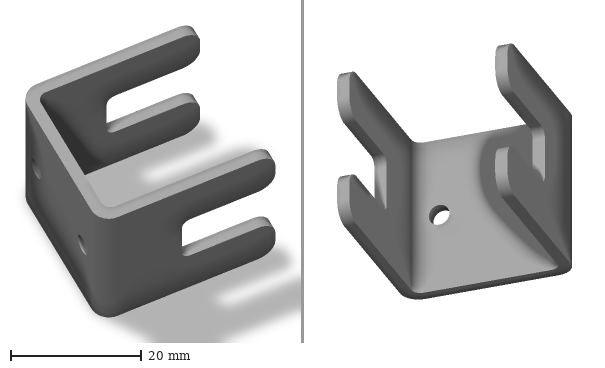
import cadquery as cq

width = 28.0
depth = 30.0
height = 26.0
thickness = 2.0

outer_bend_radius = 3.0
inner_bend_radius = 1.5

slot_height = 9.5
slot_depth = 16.0
slot_corner_radius = 1.5
prong_tip_radius = 3.0

hole_diameter = 3.4
hole_spacing = 16.0

back_y = -depth / 2
open_y = depth / 2


def bent_channel():
    """U-shaped channel, open toward +Y, with rounded bends."""
    outer = cq.Workplane("XY").box(width, depth, height)
    outer = outer.edges("|Z and <Y").fillet(outer_bend_radius)
    inner = cq.Workplane("XY").box(width - 2 * thickness, depth, height)
    inner = inner.edges("|Z and <Y").fillet(inner_bend_radius)
    return outer.cut(inner.translate((0, thickness, 0)))


def arm_profile():
    """Side outline with slot and rounded prongs, extruded across the width."""
    plate = cq.Workplane("XY").box(width, depth, height)
    slot = (
        cq.Workplane("XY")
        .box(width, slot_depth, slot_height)
        .edges("|X and <Y")
        .fillet(slot_corner_radius)
        .translate((0, open_y - slot_depth / 2, 0))
    )
    return plate.cut(slot).edges("|X and >Y").fillet(prong_tip_radius)


def mounting_holes():
    """Pair of cylinders through the back plate."""
    return (
        cq.Workplane("XZ", origin=(0, back_y, 0))
        .pushPoints([(-hole_spacing / 2, 0), (hole_spacing / 2, 0)])
        .circle(hole_diameter / 2)
        .extrude(-thickness)
    )


result = bent_channel().intersect(arm_profile()).cut(mounting_holes())